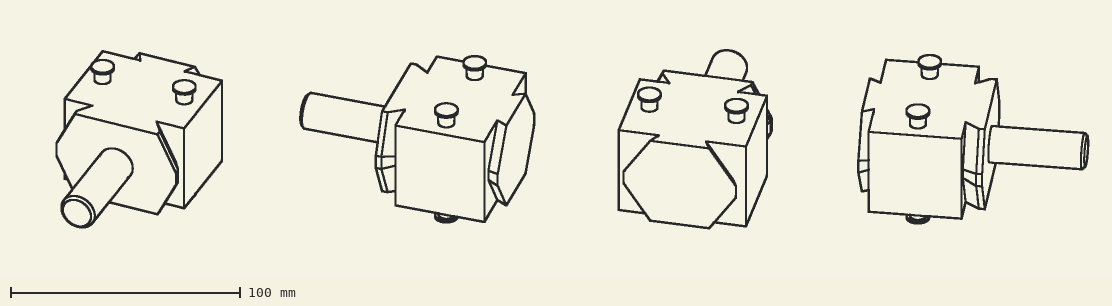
import cadquery as cq

block_width = 57.0
block_depth = 40.9
block_height = 42.0

front_neck_depth = 6.4
front_rim_depth = 2.6
front_half_width = block_width / 2
front_neck_half_width = 24.5
front_flat_half_height = 3.2
front_neck_flat_half_height = 2.2
front_top_half_width = 19.8

rear_depth = 5.0
rear_half_width = 25.1
rear_neck_half_width = 22.9
rear_flat_half_height = 3.1
rear_neck_flat_half_height = 2.4
rear_top_half_width = 13.2

shank_diameter = 16.0
shank_length = 42.0
shank_chamfer = 1.3

pin_spacing = 39.0
pin_diameter = 7.1
pin_head_diameter = 10.0
pin_height = 7.0
pin_head_thickness = 1.0

half_height = block_height / 2
block_front = -block_depth / 2
block_back = block_depth / 2
rim_back = block_front - front_neck_depth
rim_front = rim_back - front_rim_depth


def octagon(half_width, flat_half_height, top_half_width):
    """Corner points of a full-height octagon with short vertical sides."""
    return [
        (half_width, flat_half_height),
        (top_half_width, half_height),
        (-top_half_width, half_height),
        (-half_width, flat_half_height),
        (-half_width, -flat_half_height),
        (-top_half_width, -half_height),
        (top_half_width, -half_height),
        (half_width, -flat_half_height),
    ]


def plane_at(y):
    """Plane across the part at the given Y, facing -Y."""
    return cq.Workplane("XZ", origin=(0, y, 0))


def dovetail(outer_y, neck_y, half_width, flat, top, neck_half_width, neck_flat):
    """Tapered octagon whose slanted edges stay parallel, so every side is flat."""
    slope = (half_width - top) / (half_height - flat)
    neck_top = neck_half_width - slope * (half_height - neck_flat)
    return (
        plane_at(outer_y)
        .polyline(octagon(half_width, flat, top))
        .close()
        .workplane(offset=outer_y - neck_y)
        .polyline(octagon(neck_half_width, neck_flat, neck_top))
        .close()
        .loft(ruled=True, combine=True)
    )


def headed_pin(x, side):
    """Pin standing on the top (side = 1) or bottom (side = -1) of the block."""
    face = cq.Workplane("XY", origin=(x, 0, side * half_height))
    stem = face.circle(pin_diameter / 2).extrude(side * pin_height)
    head_base = side * (pin_height - pin_head_thickness)
    head = (
        face.workplane(offset=head_base)
        .circle(pin_head_diameter / 2)
        .extrude(side * pin_head_thickness)
    )
    return stem.union(head)


block = cq.Workplane("XY").box(block_width, block_depth, block_height)

front_neck = dovetail(
    rim_back,
    block_front,
    front_half_width,
    front_flat_half_height,
    front_top_half_width,
    front_neck_half_width,
    front_neck_flat_half_height,
)
front_rim = (
    plane_at(rim_back)
    .polyline(octagon(front_half_width, front_flat_half_height, front_top_half_width))
    .close()
    .extrude(front_rim_depth)
)
rear_dovetail = dovetail(
    block_back + rear_depth,
    block_back,
    rear_half_width,
    rear_flat_half_height,
    rear_top_half_width,
    rear_neck_half_width,
    rear_neck_flat_half_height,
)

shank = (
    plane_at(rim_front)
    .circle(shank_diameter / 2)
    .extrude(shank_length)
    .faces("<Y")
    .chamfer(shank_chamfer)
)

result = block.union(front_neck).union(front_rim).union(rear_dovetail).union(shank)
for pin_x in (-pin_spacing / 2, pin_spacing / 2):
    for pin_side in (-1, 1):
        result = result.union(headed_pin(pin_x, pin_side))
result = result.clean()